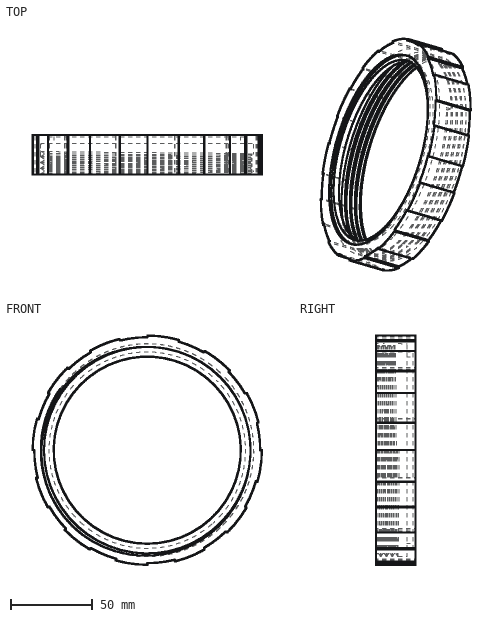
import cadquery as cq
import math


outer_radius = 70.0
length = 24.3
cavity_depth = 19.0
lip_radius = 57.0
lip_thickness = 3.8
lip_end = cavity_depth + lip_thickness
recess_radius = 60.0

pad_count = 12
pad_height = 1.0
pad_angle = 16.0
pad_pitch = 360.0 / pad_count
base_radius = outer_radius - pad_height

thread_root_radius = 65.0
thread_crest_radius = 63.0
thread_pitch = 3.5
thread_crest_width = 0.95
thread_flank_angle = 30.0
thread_crossing_angle = 40.0
thread_start_angle = -180.0
thread_full_turns = 3
thread_overrun_turns = 0.9
thread_embed = 0.1


def polar(radius, angle):
    """Point in the ring's cross plane, counted from +X toward +Z."""
    return (radius * math.cos(math.radians(angle)), radius * math.sin(math.radians(angle)))


def make_outside():
    """Solid disc whose rim carries the raised grip pads."""
    outline = cq.Workplane("XZ").moveTo(*polar(base_radius, 90.0))
    for index in range(pad_count):
        start = 90.0 - index * pad_pitch
        end = start - pad_angle
        next_start = start - pad_pitch
        outline = (
            outline.lineTo(*polar(outer_radius, start))
            .threePointArc(polar(outer_radius, (start + end) / 2), polar(outer_radius, end))
            .lineTo(*polar(base_radius, end))
            .threePointArc(polar(base_radius, (end + next_start) / 2), polar(base_radius, next_start))
        )
    return outline.close().extrude(-length)


def make_bore():
    """Stepped opening: the wide threaded cavity, the narrower lip hole and the recess behind it."""
    return (
        cq.Workplane("YZ")
        .moveTo(0, 0)
        .lineTo(0, -thread_root_radius)
        .lineTo(cavity_depth, -thread_root_radius)
        .lineTo(cavity_depth, -lip_radius)
        .lineTo(lip_end, -lip_radius)
        .lineTo(lip_end, -recess_radius)
        .lineTo(length, -recess_radius)
        .lineTo(length, 0)
        .close()
        .revolve(360, (0, 0, 0), (1, 0, 0))
    )


def make_thread():
    """Trapezoidal ridge swept along a helix and cut flush with the open end."""
    slope = math.tan(math.radians(thread_flank_angle))
    crest_half = thread_crest_width / 2
    sunk_radius = thread_root_radius + thread_embed
    sunk_half = crest_half + (sunk_radius - thread_crest_radius) * slope
    inner_turns = thread_full_turns + (thread_crossing_angle - thread_start_angle) / 360.0
    start_depth = inner_turns * thread_pitch
    swept_length = (inner_turns + thread_overrun_turns) * thread_pitch

    path = cq.Wire.makeHelix(thread_pitch, swept_length, thread_crest_radius)
    ridge = (
        cq.Workplane("XZ")
        .polyline([
            (thread_crest_radius, -crest_half),
            (thread_crest_radius, crest_half),
            (sunk_radius, sunk_half),
            (sunk_radius, -sunk_half),
        ])
        .close()
        .sweep(cq.Workplane(path), isFrenet=True)
        .rotate((0, 0, 0), (0, 0, 1), thread_start_angle)
        .rotate((0, 0, 0), (1, 0, 0), 90)
        .translate((0, start_depth, 0))
    )
    inside = cq.Workplane("XZ").circle(outer_radius).extrude(-length)
    return ridge.intersect(inside)


result = make_outside().cut(make_bore()).union(make_thread())